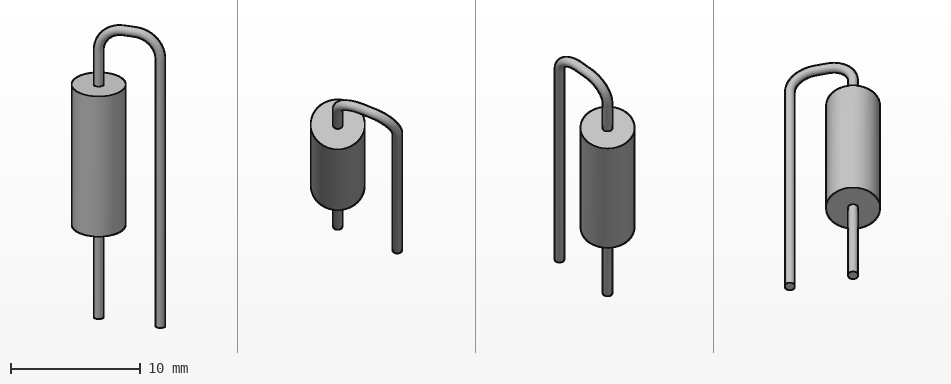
import cadquery as cq

total_height = 25.4
body_diameter = 4.2
body_length = 12.1
body_bottom = 7.95

wire_diameter = 0.8
lead_pitch = 5.0
bend_radius = 2.0

wire_top = total_height - wire_diameter / 2
bend_start = wire_top - bend_radius
bridge_end = lead_pitch - bend_radius


def make_body():
    """Cylindrical body standing around the first leg."""
    return (
        cq.Workplane("XY")
        .workplane(offset=body_bottom)
        .circle(body_diameter / 2)
        .extrude(body_length)
    )


def make_lead():
    """Round wire that rises through the body, turns over and returns to the base."""
    centreline = (
        cq.Workplane("XZ")
        .lineTo(0, bend_start)
        .tangentArcPoint((bend_radius, wire_top), relative=False)
        .lineTo(bridge_end, wire_top)
        .tangentArcPoint((lead_pitch, bend_start), relative=False)
        .lineTo(lead_pitch, 0)
    )
    return cq.Workplane("XY").circle(wire_diameter / 2).sweep(centreline)


result = make_body().union(make_lead())